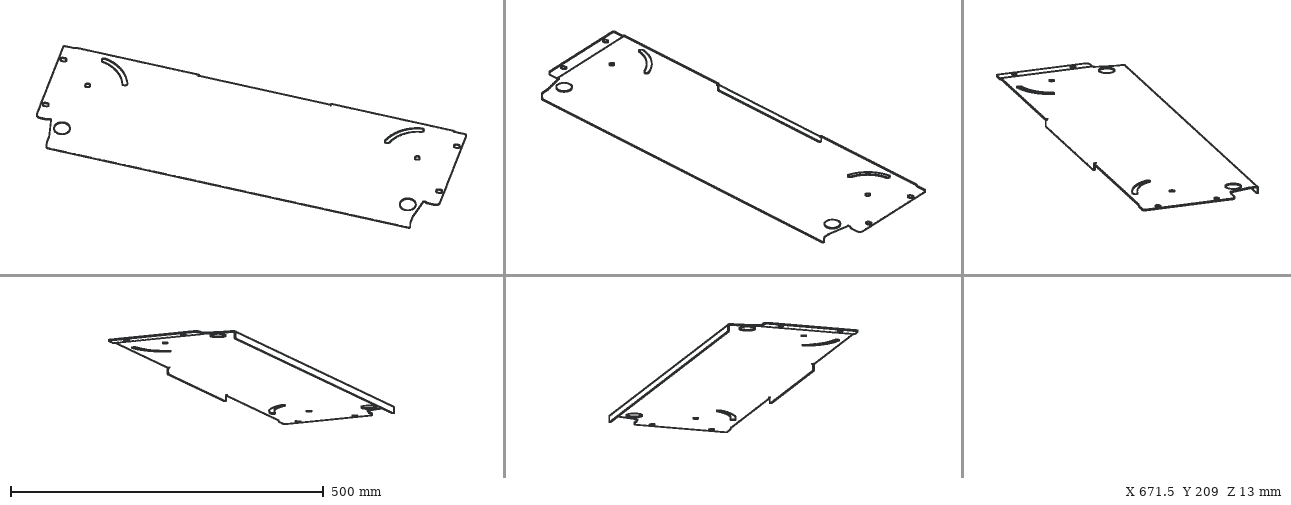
import cadquery as cq
import math

length = 671.5
depth = 209.0
height = 13.0
thickness = 2.0

panel_half_width = 313.0
taper_half_width = 310.0
front_half_width = 303.0
taper_end_from_rear = 194.0

step_drop = 2.0
step_run = 4.0
flange_depth = 158.0
flange_front_corner_radius = 7.0
flange_rear_corner_radius = 3.0

bend_inner_radius = 2.0
bend_outer_radius = bend_inner_radius + thickness
rear_lip_half_width = 110.0
lip_corner_radius = 3.0

flange_slot_x = 328.0
flange_slots_from_rear = (28.0, 128.0)
flange_slot_length = 10.0
flange_slot_width = 7.5
pivot_x = 274.5
pivot_from_rear = 72.0
pivot_diameter = 8.0
arc_slot_radius = 60.0
arc_slot_width = 8.0
arc_slot_start_angle = 20.0
arc_slot_end_angle = 80.0
large_hole_x = 288.0
large_hole_from_rear = 171.0
large_hole_diameter = 25.5

half_length = length / 2
rear_y = depth / 2
front_y = -depth / 2
flange_front_y = rear_y - flange_depth
front_bend_y = front_y + bend_outer_radius
rear_bend_y = rear_y - bend_outer_radius


def make_panel():
    """Flat panel, stopping at the bend lines where the lips begin."""
    taper_end_y = rear_y - taper_end_from_rear
    right_outline = [
        (rear_lip_half_width, rear_bend_y),
        (rear_lip_half_width, rear_y),
        (panel_half_width, rear_y),
        (panel_half_width, flange_front_y),
        (taper_half_width, flange_front_y),
        (front_half_width, taper_end_y),
        (front_half_width, front_bend_y),
    ]
    left_outline = [(-x, y) for x, y in reversed(right_outline)]
    return cq.Workplane("XY").polyline(right_outline + left_outline).close().extrude(-thickness)


def make_right_flange():
    """Side flange set below the panel by an S-shaped step of constant thickness."""
    radius_sum = (step_run**2 + step_drop**2) / (2 * step_drop)
    large_radius = (radius_sum + thickness) / 2
    small_radius = (radius_sum - thickness) / 2
    bend_angle = 2 * math.atan2(step_drop, step_run)
    step_end_x = panel_half_width + step_run
    flange_top = -step_drop
    flange_bottom = flange_top - thickness

    def panel_bend(radius, angle):
        """Point on the bend next to the panel, measured from its start."""
        return (
            panel_half_width + radius * math.sin(angle),
            -large_radius + radius * math.cos(angle),
        )

    def flange_bend(radius, angle):
        """Point on the bend next to the flange, measured back from its end."""
        return (
            step_end_x - radius * math.sin(angle),
            flange_bottom + large_radius - radius * math.cos(angle),
        )

    half_angle = bend_angle / 2
    flange = (
        cq.Workplane("XZ", origin=(0, rear_y, 0))
        .moveTo(panel_half_width, 0)
        .threePointArc(panel_bend(large_radius, half_angle), panel_bend(large_radius, bend_angle))
        .threePointArc(flange_bend(small_radius, half_angle), (step_end_x, flange_top))
        .lineTo(half_length, flange_top)
        .lineTo(half_length, flange_bottom)
        .lineTo(step_end_x, flange_bottom)
        .threePointArc(flange_bend(large_radius, half_angle), flange_bend(large_radius, bend_angle))
        .threePointArc(panel_bend(small_radius, half_angle), (panel_half_width, -thickness))
        .close()
        .extrude(flange_depth)
    )
    flange = flange.edges("|Z and >X and <Y").fillet(flange_front_corner_radius)
    return flange.edges("|Z and >X and >Y").fillet(flange_rear_corner_radius)


def make_lip(half_width):
    """Quarter-round bend and vertical lip along the front edge, centred in X."""
    diagonal = math.sqrt(0.5)
    outer_mid = (
        front_bend_y - bend_outer_radius * diagonal,
        -bend_outer_radius * (1 - diagonal),
    )
    inner_mid = (
        front_bend_y - bend_inner_radius * diagonal,
        -bend_outer_radius + bend_inner_radius * diagonal,
    )
    lip = (
        cq.Workplane("YZ")
        .moveTo(front_bend_y, 0)
        .threePointArc(outer_mid, (front_y, -bend_outer_radius))
        .lineTo(front_y, -height)
        .lineTo(front_y + thickness, -height)
        .lineTo(front_y + thickness, -bend_outer_radius)
        .threePointArc(inner_mid, (front_bend_y, -thickness))
        .close()
        .extrude(half_width, both=True)
    )
    return lip.edges("|Y and <Z").fillet(lip_corner_radius)


def through_cut(sketch):
    """Extrude a closed outline drawn at Z = 0 down through the full height."""
    return sketch.extrude(-height)


def make_arc_slot():
    """Curved slot with round ends, centred on the left pivot hole."""
    centre_y = rear_y - pivot_from_rear
    middle_angle = (arc_slot_start_angle + arc_slot_end_angle) / 2
    inner_radius = arc_slot_radius - arc_slot_width / 2
    outer_radius = arc_slot_radius + arc_slot_width / 2

    def polar(radius, angle):
        turn = math.radians(angle)
        return (-pivot_x + radius * math.cos(turn), centre_y + radius * math.sin(turn))

    tip_angle = math.degrees(2 * math.asin(arc_slot_width / 4 / arc_slot_radius))
    return through_cut(
        cq.Workplane("XY")
        .moveTo(*polar(outer_radius, arc_slot_start_angle))
        .threePointArc(polar(outer_radius, middle_angle), polar(outer_radius, arc_slot_end_angle))
        .threePointArc(
            polar(arc_slot_radius, arc_slot_end_angle + tip_angle),
            polar(inner_radius, arc_slot_end_angle),
        )
        .threePointArc(polar(inner_radius, middle_angle), polar(inner_radius, arc_slot_start_angle))
        .threePointArc(
            polar(arc_slot_radius, arc_slot_start_angle - tip_angle),
            polar(outer_radius, arc_slot_start_angle),
        )
        .close()
    )


def make_left_cutouts():
    """All openings on the left half of the part."""
    slot_centres = [(-flange_slot_x, rear_y - distance) for distance in flange_slots_from_rear]
    slots = through_cut(
        cq.Workplane("XY").pushPoints(slot_centres).slot2D(flange_slot_length, flange_slot_width)
    )
    pivot = through_cut(
        cq.Workplane("XY").center(-pivot_x, rear_y - pivot_from_rear).circle(pivot_diameter / 2)
    )
    large_hole = through_cut(
        cq.Workplane("XY")
        .center(-large_hole_x, rear_y - large_hole_from_rear)
        .circle(large_hole_diameter / 2)
    )
    return [slots, pivot, large_hole, make_arc_slot()]


right_flange = make_right_flange()
rear_lip = make_lip(rear_lip_half_width).mirror("XZ")

result = (
    make_panel()
    .union(right_flange)
    .union(right_flange.mirror("YZ"))
    .union(make_lip(front_half_width))
    .union(rear_lip)
)
for cutout in make_left_cutouts():
    result = result.cut(cutout).cut(cutout.mirror("YZ"))